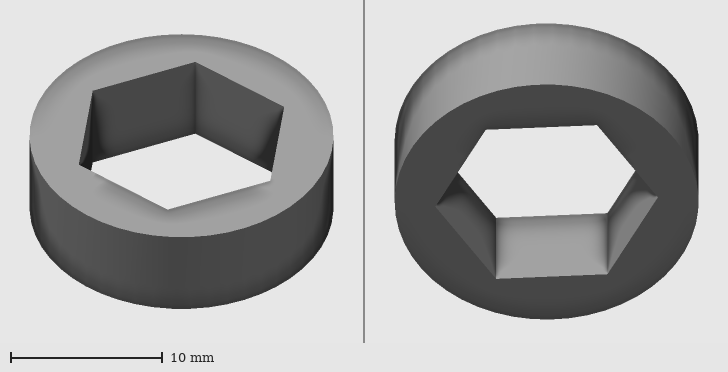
import cadquery as cq
import math

outer_diameter = 20.0
height = 6.35
hex_across_flats = 12.7

hex_across_corners = hex_across_flats / math.cos(math.radians(30))

collar = cq.Workplane("XY").circle(outer_diameter / 2).extrude(height)

hex_bore = cq.Workplane("XY").polygon(6, hex_across_corners).extrude(height)

result = collar.cut(hex_bore)